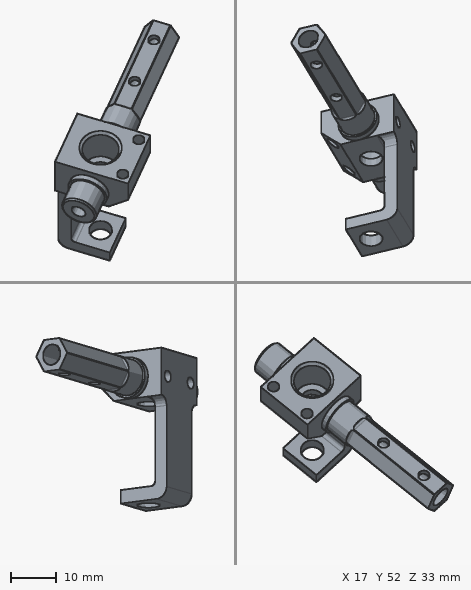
import cadquery as cq
import math


block_width = 17.0
block_depth = 14.0
block_height = 10.5
axis_to_left = 8.0
axis_to_top = 6.0
corner_cut = 4.5

total_length = 52
shaft_diameter = 8.0
shaft_front = -13.75
shaft_end_chamfer = 0.35
collar_diameter = 9.0
collar_length = 1.25
hex_length = 24.0
hex_across_flats = 7.0
hex_root_radius = 0.5
axial_bore_diameter = 4.5
axial_bore_depth = 24.0
shaft_hole_diameter = 3.2
shaft_hole_depth = 6.0

total_height = 33.0
arm_thickness = 3.0
arm_width = 10.0
foot_length = 12.0
foot_hole_diameter = 5.0
outer_bend_radius = 2.5
inner_bend_radius = 1.0
flare_radius = 2.0

bore_diameter = 8.0
bore_depth = 8.5
bore_chamfer = 0.6
through_diameter = 5.0
small_diameter = 2.5
block_hole_x = 7.0
block_hole_spacing = 10.0
side_hole_spacing = 9.0
side_hole_depth = 5.0
hex_hole_from_end = 5.0
hex_hole_spacing = 12.0
drill_point_angle = 118

left = -axis_to_left
right = left + block_width
top = axis_to_top
block_bottom = top - block_height
bottom = top - total_height
shaft_back = shaft_front + total_length
hex_start = shaft_back - hex_length


def rod(diameter, y_start, y_end):
    """Cylinder on the shaft axis."""
    plane = cq.Workplane("XZ", origin=(0, y_start, 0))
    return plane.circle(diameter / 2).extrude(y_start - y_end)


def vertical_cutter(x, y, z_low, z_high, diameter):
    plane = cq.Workplane("XY", origin=(x, y, z_low))
    return plane.circle(diameter / 2).extrude(z_high - z_low)


def drilled_hole(start, direction, diameter, depth):
    """Blind hole with a conical drill point beyond its full-diameter depth."""
    radius = diameter / 2
    point_length = radius / math.tan(math.radians(drill_point_angle / 2))
    start = cq.Vector(*start)
    direction = cq.Vector(*direction)
    cylinder = cq.Solid.makeCylinder(radius, depth, start, direction)
    point = cq.Solid.makeCone(radius, 0, point_length, start + direction * depth, direction)
    return cylinder.fuse(point)


def make_block():
    outline = [
        (left, top),
        (right, top),
        (right, block_bottom + corner_cut),
        (right - corner_cut, block_bottom),
        (left, block_bottom),
    ]
    return cq.Workplane("XZ").polyline(outline).close().extrude(block_depth / 2, both=True)


def make_flat_cutter():
    """Cutter for the top hexagon flat, with a concave root where the flat meets the round shaft."""
    flat_height = hex_across_flats / 2
    return (
        cq.Workplane("YZ")
        .moveTo(shaft_back, flat_height)
        .lineTo(hex_start, flat_height)
        .radiusArc((hex_start - hex_root_radius, flat_height + hex_root_radius), hex_root_radius)
        .lineTo(shaft_back, flat_height + hex_root_radius)
        .close()
        .extrude(shaft_diameter / 2, both=True)
    )


def make_shaft():
    shaft = rod(shaft_diameter, shaft_front, shaft_back)
    shaft = shaft.faces("<Y").chamfer(shaft_end_chamfer)
    cutter = make_flat_cutter()
    for index in range(6):
        shaft = shaft.cut(cutter.rotate((0, 0, 0), (0, 1, 0), index * 60))
    collar_reach = block_depth / 2 + collar_length
    collar = rod(collar_diameter, -collar_reach, collar_reach)
    return shaft.union(collar)


def make_arm():
    """Side profile of the bent arm, trimmed by its width with a flare below the block."""
    inner_x = left + arm_thickness
    foot_top = bottom + arm_thickness
    side = (
        cq.Workplane("XZ")
        .moveTo(left, block_bottom)
        .lineTo(left, bottom + outer_bend_radius)
        .radiusArc((left + outer_bend_radius, bottom), -outer_bend_radius)
        .lineTo(left + foot_length, bottom)
        .lineTo(left + foot_length, foot_top)
        .lineTo(inner_x + inner_bend_radius, foot_top)
        .radiusArc((inner_x, foot_top + inner_bend_radius), inner_bend_radius)
        .lineTo(inner_x, block_bottom - inner_bend_radius)
        .radiusArc((inner_x + inner_bend_radius, block_bottom), inner_bend_radius)
        .close()
        .extrude(block_depth / 2, both=True)
    )
    half = arm_width / 2
    flare_half = half + flare_radius
    flare_bottom = block_bottom - flare_radius
    width_outline = (
        cq.Workplane("YZ", origin=(left, 0, 0))
        .moveTo(-half, bottom)
        .lineTo(half, bottom)
        .lineTo(half, flare_bottom)
        .radiusArc((flare_half, block_bottom), flare_radius)
        .lineTo(-flare_half, block_bottom)
        .radiusArc((-half, flare_bottom), flare_radius)
        .close()
        .extrude(foot_length)
    )
    return side.intersect(width_outline)


def cut_main_bore(body):
    bore = vertical_cutter(0, 0, top - bore_depth, top, bore_diameter)
    mouth = cq.Workplane("XY", origin=(0, 0, top)).circle(bore_diameter / 2 + bore_chamfer)
    mouth = mouth.extrude(-bore_chamfer, taper=45)
    through = vertical_cutter(0, 0, block_bottom, top, through_diameter)
    foot_hole = vertical_cutter(0, 0, bottom, bottom + arm_thickness, foot_hole_diameter)
    return body.cut(bore).cut(mouth).cut(through).cut(foot_hole)


def cut_shaft_and_side_holes(body):
    for side in (-1, 1):
        block_hole_y = side * block_hole_spacing / 2
        body = body.cut(vertical_cutter(block_hole_x, block_hole_y, block_bottom, top, small_diameter))
        side_hole_start = (left, side * side_hole_spacing / 2, 0)
        body = body.cut(drilled_hole(side_hole_start, (1, 0, 0), small_diameter, side_hole_depth))
    for index in range(2):
        y = shaft_back - hex_hole_from_end - index * hex_hole_spacing
        body = body.cut(vertical_cutter(0, y, -shaft_diameter / 2, shaft_diameter / 2, small_diameter))
    axial_bore = rod(axial_bore_diameter, shaft_back - axial_bore_depth, shaft_back)
    body = body.cut(axial_bore)
    shaft_hole_start = (0, shaft_front, 0)
    return body.cut(drilled_hole(shaft_hole_start, (0, 1, 0), shaft_hole_diameter, shaft_hole_depth))


body = make_block().union(make_shaft()).union(make_arm())
result = cut_shaft_and_side_holes(cut_main_bore(body))